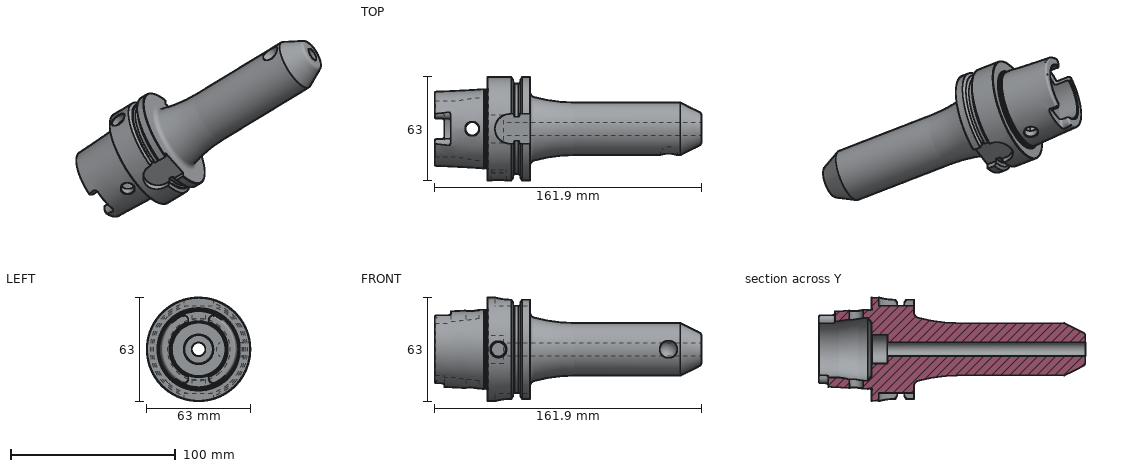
import cadquery as cq
import math


TAPER_LENGTH = 29.8
NECK_START = 30.6
NECK_END = 31.1
NECK_FLANK_END = 31.4
COLLAR_FRONT = 32.0
GROOVE_START = 46.5
GROOVE_FLOOR_START = 47.8
GROOVE_FLOOR_END = 51.8
GROOVE_END = 53.1
COLLAR_BACK = 58.0
FLARE_START = 60.4
FLARE_END = 84.7
NOSE_START = 149.0
TOTAL_LENGTH = 161.9

TAPER_MOUTH_RADIUS = 22.7
TAPER_END_RADIUS = 24.1
NECK_RADIUS = 23.8
MOUTH_ROUNDING = 1.3

COLLAR_RADIUS = 63.0 / 2
COLLAR_CHAMFER = 0.3
FACE_RECESS_RADIUS = 25.1
FACE_RECESS_DEPTH = 0.5
GROOVE_SHOULDER_RADIUS = 29.5
GROOVE_RADIUS = 27.5
GROOVE_FILLET = 1.0

FLARE_START_RADIUS = 19.3
SHANK_RADIUS = 16.0
NOSE_RADIUS = 9.5
NOSE_ROUNDING = 2.6

MOUTH_CHAMFER_RADIUS = 17.8
MOUTH_CHAMFER_LENGTH = 0.5
CLAMP_BORE_RADIUS = 17.0
CLAMP_BORE_END = 12.5
UNDERCUT_RADIUS = 19.0
UNDERCUT_START = 24.3
UNDERCUT_END = 29.8
FLOOR_RADIUS = 16.2
BORE_DEPTH = 32.0
COUNTERBORE_RADIUS = 8.5
COUNTERBORE_CHAMFER = 0.5
COUNTERBORE_LENGTH = 9.7
THROUGH_RADIUS = 4.0

SLOT_HALF_WIDTH = 6.2
SLOT_ROOF = 20.7
SLOT_EDGE_RADIUS = 3.2
SLOT_CORNER_FILLET = 1.3
TOP_SLOT_DEPTH = 9.9
BOTTOM_SLOT_DEPTH = 5.8

CROSS_HOLE_X = 22.8
CROSS_HOLE_RADIUS = 4.0
CROSS_HOLE_CHAMFER = 0.3

KEYWAY_WIDTH = 18.0
KEYWAY_START = 36.6
KEYWAY_FLOOR = 26.5

POCKET_X = 38.7
POCKET_RADIUS = 4.7
POCKET_DEPTH = 4.9
POCKET_MOUTH_CHAMFER = 0.3
SEAT_CHAMFER = 0.3
CHIP_RADIUS = POCKET_RADIUS - SEAT_CHAMFER
CHIP_THICKNESS = 1.6

DIMPLE_X = 141.8
DIMPLE_RADIUS = 5.3

SLACK = 0.2
AXIS_START = (0, 0, 0)
AXIS_END = (1, 0, 0)
DIAGONAL_SAG = 1 - math.sqrt(0.5)


def half_turn(shape):
    return shape.rotate(AXIS_START, AXIS_END, 180)


def turn(profile):
    """Revolve a closed half profile about X, with its seam on top."""
    return profile.revolve(360, AXIS_START, AXIS_END).rotate(AXIS_START, AXIS_END, 90)


def edges_inside(body, low_corner, high_corner):
    """Curved edges whose centres lie inside the box between two corners."""
    return body.edges(cq.selectors.BoxSelector(low_corner, high_corner)).edges("not %LINE")


def turned_blank():
    flare_run = FLARE_END - FLARE_START
    flare_rise = FLARE_START_RADIUS - SHANK_RADIUS
    flare_radius = (flare_run**2 + flare_rise**2) / (2 * flare_rise)
    flare_angle = math.asin(flare_run / flare_radius)
    flare_middle = (
        FLARE_END - flare_radius * math.sin(flare_angle / 2),
        SHANK_RADIUS + flare_radius * (1 - math.cos(flare_angle / 2)),
    )
    root_radius = (FLARE_START - COLLAR_BACK) / (1 - math.sin(flare_angle))
    root_top = FLARE_START_RADIUS + root_radius * math.cos(flare_angle)
    root_angle = (math.pi / 2 + flare_angle) / 2
    root_middle = (
        COLLAR_BACK + root_radius * (1 - math.sin(root_angle)),
        root_top - root_radius * math.cos(root_angle),
    )
    rounding_sag = MOUTH_ROUNDING * DIAGONAL_SAG
    recess_floor = COLLAR_FRONT + FACE_RECESS_DEPTH

    profile = (
        cq.Workplane("XY")
        .lineTo(0, TAPER_MOUTH_RADIUS - MOUTH_ROUNDING)
        .threePointArc(
            (rounding_sag, TAPER_MOUTH_RADIUS - rounding_sag),
            (MOUTH_ROUNDING, TAPER_MOUTH_RADIUS),
        )
        .lineTo(TAPER_LENGTH, TAPER_END_RADIUS)
        .lineTo(NECK_START, NECK_RADIUS)
        .lineTo(NECK_END, NECK_RADIUS)
        .lineTo(NECK_FLANK_END, TAPER_END_RADIUS)
        .lineTo(recess_floor, TAPER_END_RADIUS)
        .lineTo(recess_floor, FACE_RECESS_RADIUS - FACE_RECESS_DEPTH)
        .lineTo(COLLAR_FRONT, FACE_RECESS_RADIUS)
        .lineTo(COLLAR_FRONT, COLLAR_RADIUS - COLLAR_CHAMFER)
        .lineTo(COLLAR_FRONT + COLLAR_CHAMFER, COLLAR_RADIUS)
        .lineTo(GROOVE_START, COLLAR_RADIUS)
        .lineTo(GROOVE_FLOOR_START, GROOVE_SHOULDER_RADIUS)
        .lineTo(GROOVE_FLOOR_START, GROOVE_RADIUS)
        .lineTo(GROOVE_FLOOR_END, GROOVE_RADIUS)
        .lineTo(GROOVE_FLOOR_END, GROOVE_SHOULDER_RADIUS)
        .lineTo(GROOVE_END, COLLAR_RADIUS)
        .lineTo(COLLAR_BACK - COLLAR_CHAMFER, COLLAR_RADIUS)
        .lineTo(COLLAR_BACK, COLLAR_RADIUS - COLLAR_CHAMFER)
        .lineTo(COLLAR_BACK, root_top)
        .threePointArc(root_middle, (FLARE_START, FLARE_START_RADIUS))
        .threePointArc(flare_middle, (FLARE_END, SHANK_RADIUS))
        .lineTo(NOSE_START, SHANK_RADIUS)
        .lineTo(TOTAL_LENGTH, NOSE_RADIUS)
        .lineTo(TOTAL_LENGTH, 0)
        .close()
    )
    blank = turn(profile)

    reach = GROOVE_RADIUS + SLACK
    groove_corners = cq.selectors.BoxSelector(
        (GROOVE_FLOOR_START - SLACK, -reach, -reach),
        (GROOVE_FLOOR_END + SLACK, reach, reach),
        boundingbox=True,
    )
    blank = blank.edges(groove_corners).edges("%CIRCLE").fillet(GROOVE_FILLET)
    return blank.faces(">X").edges().fillet(NOSE_ROUNDING)


def axial_bore():
    counterbore_end = BORE_DEPTH + COUNTERBORE_LENGTH
    profile = (
        cq.Workplane("XY")
        .lineTo(0, MOUTH_CHAMFER_RADIUS)
        .lineTo(MOUTH_CHAMFER_LENGTH, CLAMP_BORE_RADIUS)
        .lineTo(CLAMP_BORE_END, CLAMP_BORE_RADIUS)
        .lineTo(UNDERCUT_START, UNDERCUT_RADIUS)
        .lineTo(UNDERCUT_END, UNDERCUT_RADIUS)
        .lineTo(BORE_DEPTH, FLOOR_RADIUS)
        .lineTo(BORE_DEPTH, COUNTERBORE_RADIUS + COUNTERBORE_CHAMFER)
        .lineTo(BORE_DEPTH + COUNTERBORE_CHAMFER, COUNTERBORE_RADIUS)
        .lineTo(counterbore_end, COUNTERBORE_RADIUS)
        .lineTo(counterbore_end, THROUGH_RADIUS)
        .lineTo(TOTAL_LENGTH, THROUGH_RADIUS)
        .lineTo(TOTAL_LENGTH, 0)
        .close()
    )
    return turn(profile)


def drive_slot(depth):
    """Cutter for the upper slot: straight walls that open outward in arcs to a flat roof."""
    bend = SLOT_HALF_WIDTH + SLOT_EDGE_RADIUS
    shoulder = SLOT_ROOF - SLOT_EDGE_RADIUS
    sag = SLOT_EDGE_RADIUS * DIAGONAL_SAG
    slot = (
        cq.Workplane("YZ")
        .moveTo(-SLOT_HALF_WIDTH, 0)
        .lineTo(-SLOT_HALF_WIDTH, shoulder)
        .threePointArc((-SLOT_HALF_WIDTH - sag, SLOT_ROOF - sag), (-bend, SLOT_ROOF))
        .lineTo(-COLLAR_RADIUS, SLOT_ROOF)
        .lineTo(-COLLAR_RADIUS, COLLAR_RADIUS)
        .lineTo(COLLAR_RADIUS, COLLAR_RADIUS)
        .lineTo(COLLAR_RADIUS, SLOT_ROOF)
        .lineTo(bend, SLOT_ROOF)
        .threePointArc((SLOT_HALF_WIDTH + sag, SLOT_ROOF - sag), (SLOT_HALF_WIDTH, shoulder))
        .lineTo(SLOT_HALF_WIDTH, 0)
        .close()
        .extrude(depth)
    )

    def wall_edges(x):
        return cq.selectors.BoxSelector(
            (x - SLACK, -COLLAR_RADIUS + SLACK, SLACK),
            (x + SLACK, COLLAR_RADIUS - SLACK, SLOT_ROOF + SLACK),
        )

    slot = slot.faces(">X").edges(wall_edges(depth)).fillet(SLOT_CORNER_FILLET)
    plate_side = 4 * COLLAR_RADIUS
    front_plate = cq.Workplane("YZ").rect(plate_side, plate_side).extrude(-MOUTH_ROUNDING)
    return slot.union(front_plate).edges(wall_edges(0)).fillet(MOUTH_ROUNDING)


def keyway():
    """Cutter for the upper keyway: round at the front, open at the back of the collar."""
    end_radius = KEYWAY_WIDTH / 2
    centre = KEYWAY_START + end_radius
    return (
        cq.Workplane("XY", origin=(0, 0, KEYWAY_FLOOR))
        .moveTo(COLLAR_BACK, -end_radius)
        .lineTo(centre, -end_radius)
        .threePointArc((KEYWAY_START, 0), (centre, end_radius))
        .lineTo(COLLAR_BACK, end_radius)
        .close()
        .extrude(COLLAR_RADIUS - KEYWAY_FLOOR)
    )


def cut_cross_hole(body):
    hole = cq.Workplane("XY").center(CROSS_HOLE_X, 0).circle(CROSS_HOLE_RADIUS)
    body = body.cut(hole.extrude(COLLAR_RADIUS, both=True))
    low_x = CROSS_HOLE_X - CROSS_HOLE_RADIUS
    high_x = CROSS_HOLE_X + CROSS_HOLE_RADIUS
    wall_middle = (UNDERCUT_RADIUS + TAPER_END_RADIUS) / 2
    for low_z, high_z in ((wall_middle, COLLAR_RADIUS), (-COLLAR_RADIUS, -wall_middle)):
        rim = edges_inside(
            body,
            (low_x, -CROSS_HOLE_RADIUS, low_z),
            (high_x, CROSS_HOLE_RADIUS, high_z),
        )
        body = rim.chamfer(CROSS_HOLE_CHAMFER)
    return body


def side_disc(radius, depth, thickness):
    """Disc on the pocket axis whose outer face lies at the given depth below the collar."""
    plane = cq.Workplane("XZ", origin=(POCKET_X, depth - COLLAR_RADIUS, 0))
    return plane.circle(radius).extrude(-thickness)


def data_chip():
    return side_disc(CHIP_RADIUS, POCKET_DEPTH + SEAT_CHAMFER, CHIP_THICKNESS)


def cut_chip_pocket(body):
    pocket = side_disc(POCKET_RADIUS, 0, POCKET_DEPTH + SEAT_CHAMFER).faces(">Y").chamfer(SEAT_CHAMFER)
    body = body.cut(pocket)
    rim = edges_inside(
        body,
        (POCKET_X - POCKET_RADIUS, -COLLAR_RADIUS, -POCKET_RADIUS),
        (POCKET_X + POCKET_RADIUS, POCKET_DEPTH / 2 - COLLAR_RADIUS, POCKET_RADIUS),
    )
    return rim.chamfer(POCKET_MOUTH_CHAMFER).cut(data_chip())


def dimple():
    return cq.Workplane("XY").sphere(DIMPLE_RADIUS).translate((DIMPLE_X, -SHANK_RADIUS, 0))


def tool_holder():
    body = turned_blank()
    body = body.cut(drive_slot(TOP_SLOT_DEPTH))
    body = body.cut(half_turn(drive_slot(BOTTOM_SLOT_DEPTH)))
    body = body.cut(axial_bore())
    body = body.cut(keyway())
    body = body.cut(half_turn(keyway()))
    body = cut_cross_hole(body)
    body = cut_chip_pocket(body)
    return body.cut(dimple())


holder = tool_holder()
chip = data_chip()

result = cq.Compound.makeCompound([holder.val(), chip.val()])